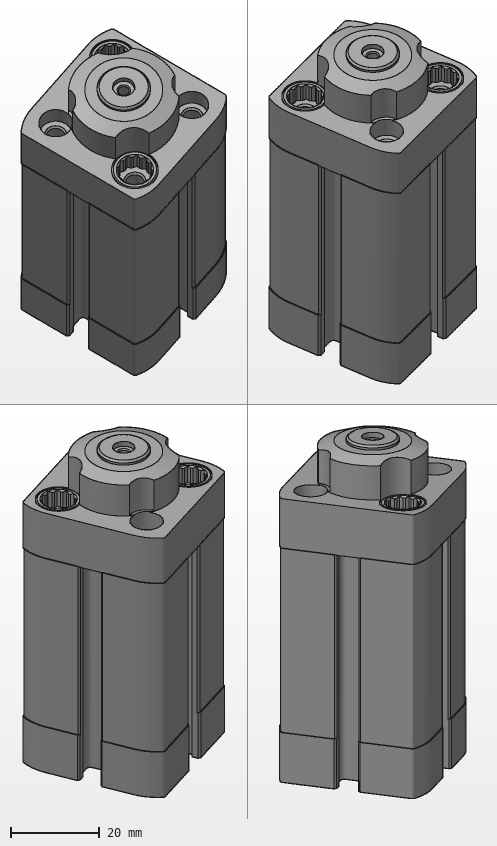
import cadquery as cq
import math

total_height = 79.0
width = 35.5
half_width = width / 2
block_height = 12.0
collar_and_tip_height = 10.5
head_top = total_height - collar_and_tip_height
head_bottom = head_top - block_height
barrel_inset = 0.2

flat_half_length = 11.0
side_arc_radius = 12.5
corner_round = 0.8

slot_half_mouth = 2.6
slot_half_chamber = 3.5
slot_mouth_chamfer = 0.5
slot_lip = 2.0
slot_depth = 6.5
slot_floor_round = 1.0

collar_diameter = 25.0
collar_flat_diameter = 17.5
collar_edge_height = 8.2
collar_height = 9.5

hole_offset = 11.0
bolt_hole_diameter = 4.1
bolt_countersink_diameter = 5.0
counterbore_diameter = 7.5
counterbore_depth = 4.5
scallop_diameter = 9.0
scallop_floor = 0.2
insert_diameter = 10.5
insert_edge_chamfer = 0.4
spline_root_diameter = 8.4
spline_teeth = 12
spline_tip_angle = 9.0
spline_tip_diameter = counterbore_diameter

rod_diameter = 12.0
rod_chamfer = 0.5
rod_recess_diameter = 5.0
rod_recess_depth = 1.3
rod_hole_diameter = 2.45
rod_hole_countersink_diameter = 3.0
rod_hole_depth = 7.9
drill_point_angle = 118.0
rod_bottom = block_height


def cylinder(diameter, bottom, top, x=0, y=0):
    return cq.Workplane("XY", origin=(x, y, bottom)).circle(diameter / 2).extrude(top - bottom)


def cone(bottom_diameter, top_diameter, bottom, top, x=0, y=0):
    solid = cq.Solid.makeCone(bottom_diameter / 2, top_diameter / 2, top - bottom, cq.Vector(x, y, bottom))
    return cq.Workplane(obj=solid)


def block(bottom, top, inset):
    """Prism of the cross-section, drawn in by an inset."""
    half = half_width - inset
    radius = side_arc_radius - inset
    arc_center = half - radius
    corner_x = arc_center + math.sqrt(radius**2 - (half - flat_half_length) ** 2)
    prism = (
        cq.Workplane("XY", origin=(0, 0, bottom))
        .moveTo(half, -flat_half_length)
        .lineTo(half, flat_half_length)
        .radiusArc((corner_x, half), -radius)
        .lineTo(-corner_x, half)
        .radiusArc((-half, flat_half_length), -radius)
        .lineTo(-half, -flat_half_length)
        .radiusArc((-corner_x, -half), -radius)
        .lineTo(corner_x, -half)
        .radiusArc((half, -flat_half_length), -radius)
        .close()
        .extrude(top - bottom)
    )
    return prism.edges("|Z and (>Y or <Y)").fillet(corner_round - inset)


def slot(bottom, top, inset):
    """Cutter for one slot in the +X side."""
    face = half_width - inset
    lip_end = half_width - slot_lip
    floor = half_width - slot_depth
    chamber_length = lip_end - floor
    mouth_edge = slot_half_mouth + slot_mouth_chamfer
    height = top - bottom
    plane = cq.Workplane("XY", origin=(0, 0, bottom))
    chamber_middle = floor + chamber_length / 2
    chamber = plane.center(chamber_middle, 0).rect(chamber_length, 2 * slot_half_chamber).extrude(height)
    chamber = chamber.edges("|Z and <X").fillet(slot_floor_round)
    mouth = (
        plane.moveTo(chamber_middle, -slot_half_mouth)
        .lineTo(face - slot_mouth_chamfer, -slot_half_mouth)
        .lineTo(face, -mouth_edge)
        .lineTo(face, mouth_edge)
        .lineTo(face - slot_mouth_chamfer, slot_half_mouth)
        .lineTo(chamber_middle, slot_half_mouth)
        .close()
        .extrude(height)
    )
    return chamber.union(mouth)


def slotted_block(bottom, top, inset):
    body = block(bottom, top, inset)
    for quarter in range(4):
        body = body.cut(slot(bottom, top, inset).rotate((0, 0, 0), (0, 0, 1), 90 * quarter))
    return body


def collar():
    edge = head_top + collar_edge_height
    return cylinder(collar_diameter, head_top, edge).union(
        cone(collar_diameter, collar_flat_diameter, edge, head_top + collar_height)
    )


def bolt_hole(x, y):
    """Through hole with a countersink at the counterbore floor."""
    floor = head_top - counterbore_depth
    countersink_depth = (bolt_countersink_diameter - bolt_hole_diameter) / 2
    return cylinder(bolt_hole_diameter, 0, floor, x, y).union(
        cone(bolt_hole_diameter, bolt_countersink_diameter, floor - countersink_depth, floor, x, y)
    )


def plain_hole(x, y):
    """Counterbored bolt hole that also scallops the collar."""
    counterbore = cylinder(counterbore_diameter, head_top - counterbore_depth, total_height, x, y)
    scallop = cylinder(scallop_diameter, head_top + scallop_floor, total_height, x, y)
    return bolt_hole(x, y).union(counterbore).union(scallop)


def spline_socket(x, y):
    """Socket whose wall carries blunt teeth between V-shaped roots, with a countersunk rim."""
    points = []
    pitch_angle = 360 / spline_teeth
    for tooth in range(spline_teeth):
        root = tooth * pitch_angle
        tip = root + pitch_angle / 2
        for diameter, angle in (
            (spline_root_diameter, root),
            (spline_tip_diameter, tip - spline_tip_angle / 2),
            (spline_tip_diameter, tip + spline_tip_angle / 2),
        ):
            turn = math.radians(angle)
            points.append((diameter / 2 * math.cos(turn), diameter / 2 * math.sin(turn)))
    floor = head_top - counterbore_depth
    socket = cq.Workplane("XY", origin=(x, y, floor)).polyline(points).close().extrude(counterbore_depth)
    rim_depth = (spline_root_diameter - spline_tip_diameter) / 2
    rim = cone(spline_tip_diameter, spline_root_diameter, head_top - rim_depth, head_top, x, y)
    return socket.union(rim)


def insert_hole(x, y):
    """Bolt hole in a splined seat, ringed by a V-groove; the collar is cleared above it."""
    groove_floor = head_top - insert_edge_chamfer
    inner_diameter = insert_diameter - 2 * insert_edge_chamfer
    groove = cylinder(insert_diameter, groove_floor, head_top, x, y).cut(
        cone(insert_diameter, inner_diameter, groove_floor, head_top, x, y)
    )
    clearance = cylinder(insert_diameter, head_top, total_height, x, y)
    return bolt_hole(x, y).union(spline_socket(x, y)).union(groove).union(clearance)


def make_housing():
    body = slotted_block(0, block_height, 0)
    body = body.union(slotted_block(block_height, head_bottom, barrel_inset))
    body = body.union(block(head_bottom, head_top, 0)).union(collar())
    for side in (-1, 1):
        body = body.cut(plain_hole(side * hole_offset, side * hole_offset))
        body = body.cut(insert_hole(side * hole_offset, -side * hole_offset))
    return body.cut(cylinder(rod_diameter, rod_bottom, total_height))


def make_rod():
    rod = cylinder(rod_diameter, rod_bottom, total_height).faces(">Z").chamfer(rod_chamfer)
    recess_floor = total_height - rod_recess_depth
    hole_bottom = recess_floor - rod_hole_depth
    point_depth = rod_hole_diameter / 2 / math.tan(math.radians(drill_point_angle / 2))
    countersink_depth = (rod_hole_countersink_diameter - rod_hole_diameter) / 2
    rod = rod.cut(cylinder(rod_recess_diameter, recess_floor, total_height))
    rod = rod.cut(
        cone(rod_hole_diameter, rod_hole_countersink_diameter, recess_floor - countersink_depth, recess_floor)
    )
    rod = rod.cut(cylinder(rod_hole_diameter, hole_bottom, recess_floor))
    return rod.cut(cone(0, rod_hole_diameter, hole_bottom - point_depth, hole_bottom))


housing = make_housing()
rod = make_rod()

result = cq.Compound.makeCompound([housing.val(), rod.val()])